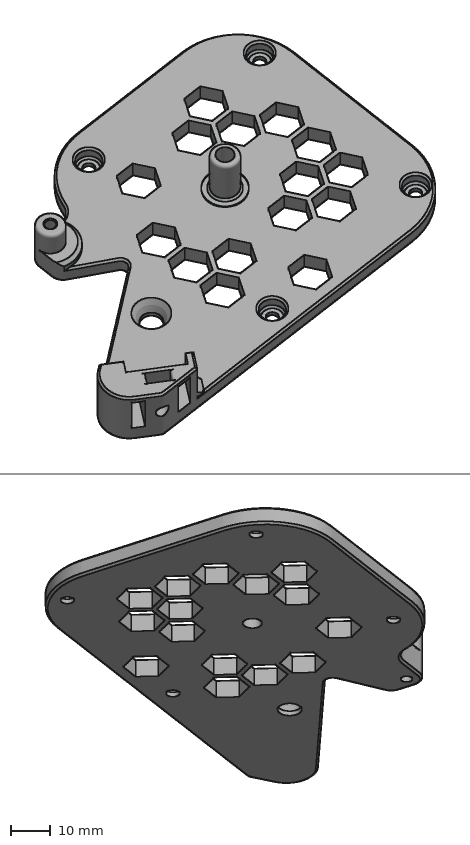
import cadquery as cq
import math


width = 82.5
length = 118.2
plate_thickness = 4.8
edge_chamfer = 0.6
plate_corner_radius = 20.0
lower_left_corner_y = 60.9
right_turn_radius = 2.0

tip_radius = 8.0
tip_x = 71.8
flank_angle = 55.0
notch_radius = 2.0
notch_x, notch_y = 38.5, 38.0
foot_diameter = 7.9
foot_radius = foot_diameter / 2
foot_x, foot_y = 21.8, 29.5
foot_flat = 4.6
blend_radius = 5.0

pad_radius = 8.0
pad_chamfer = 1.1
pad_top = 7.2
foot_post_top = 14.3
foot_bore_diameter = 3.0
foot_bore_mouth = 3.5

post_x, post_y = 39.4, 74.4
post_diameter = 7.9
post_top = 18.6
post_fillet = 1.0
post_bore_diameter = 4.8
collar_diameter = 12.1
collar_height = 0.4
post_root = 0.6

screw_places = [(14.3, 111.6), (72.5, 109.5), (75.4, 55.5), (8.4, 56.5)]
screw_diameter = 3.4
screw_recess_diameter = 7.0
screw_recess_depth = 3.5
screw_recess_chamfer = 0.6

large_hole_x, large_hole_y = 55.0, 32.6
large_hole_diameter = 6.1
large_hole_step_diameter = 7.9
large_hole_mouth_diameter = 10.2
large_hole_step_depth = 1.5
large_hole_cone_depth = 3.5

hexagon_flats = 10.0
hexagon_pitch = 11.5
honeycomb_y = 70.6
honeycomb = {
    3: (-0.5, 0.5, 1.5),
    2: (-2, -1, 1, 2),
    1: (-1.5, 1.5),
    0: (3,),
    -1: (-1.5, 1.5),
    -2: (0, 1, 2),
}

mount_top = 16.8
mount_x, mount_y = 70.8, 7.8
mount_seat_length = 16.0
mount_seat_depth = 4.0
prong_thickness = 2.1
mount_heel_length = 5.5
brace_size = 2.0
mount_reach = 23.6
mount_corner_chamfer = 0.4
tie_slot_width = 3.4
tie_slot_top = 15.0
mount_screw_diameter = 3.5
mount_screw_z = 9.7
nut_corners = 6.5
nut_pocket_fillet = 0.7
nut_pocket_thickness = 3.4
nut_pocket_offset = 1.12


def polar(center, radius, angle):
    """Point at an angle in degrees on a circle."""
    turn = math.radians(angle)
    return center[0] + radius * math.cos(turn), center[1] + radius * math.sin(turn)


def inner_tangent_angle(first, first_radius, second, second_radius, side):
    """Normal angle, on the first circle, of a line that crosses between two circles."""
    dx = second[0] - first[0]
    dy = second[1] - first[1]
    spread = math.acos((first_radius + second_radius) / math.hypot(dx, dy))
    return math.degrees(math.atan2(dy, dx) + side * spread)


def add_arc(outline, center, radius, start, end):
    """Continue the outline along an arc between two angles."""
    middle = polar(center, radius, (start + end) / 2)
    return outline.threePointArc(middle, polar(center, radius, end))


def add_corner(outline, center, radius, start, end):
    """Straight line to the start of a round corner, then the corner's arc."""
    outline = outline.lineTo(*polar(center, radius, start))
    return add_arc(outline, center, radius, start, end)


def plate_outline():
    """Closed outline: round corners in clockwise order, joined by straight lines."""
    big = plate_corner_radius
    lower_left = (big, lower_left_corner_y)
    tip = (tip_x, tip_radius)
    notch = (notch_x, notch_y)
    foot_left = (foot_x, foot_y)
    foot_right = (foot_x + foot_flat, foot_y)

    flank = math.radians(flank_angle)
    turn_x = width - right_turn_radius
    turn_rise = (turn_x - tip_x) * math.tan(flank) - (tip_radius - right_turn_radius) / math.cos(flank)
    right_turn = (turn_x, tip_radius + turn_rise)

    blend_x = foot_x - foot_radius - blend_radius
    blend_drop = math.sqrt((big + blend_radius) ** 2 - (big - blend_x) ** 2)
    blend = (blend_x, lower_left_corner_y - blend_drop)
    blend_angle = math.degrees(math.atan2(blend_drop, big - blend_x))

    tip_left_angle = inner_tangent_angle(tip, tip_radius, notch, notch_radius, 1)
    foot_right_angle = inner_tangent_angle(foot_right, foot_radius, notch, notch_radius, -1)

    outline = cq.Workplane("XY").moveTo(big, length)
    outline = add_corner(outline, (width - big, length - big), big, 90, 0)
    outline = add_corner(outline, right_turn, right_turn_radius, 0, flank_angle - 90)
    outline = add_corner(outline, tip, tip_radius, flank_angle - 90, tip_left_angle - 360)
    outline = add_corner(outline, notch, notch_radius, tip_left_angle - 180, foot_right_angle + 180)
    outline = add_corner(outline, foot_right, foot_radius, foot_right_angle, -90)
    outline = add_corner(outline, foot_left, foot_radius, -90, -180)
    outline = add_corner(outline, blend, blend_radius, 0, blend_angle)
    outline = add_arc(outline, lower_left, big, blend_angle - 180, -180)
    outline = add_corner(outline, (big, length - big), big, 180, 90)
    return outline.close()


def outline_slab(height):
    """The plate's outline raised to a height, with its lower rim chamfered."""
    slab = plate_outline().extrude(height)
    return slab.faces("<Z").edges().chamfer(edge_chamfer)


def chamfered_slab(height):
    """The outline slab with both rims chamfered."""
    return outline_slab(height).faces(">Z").edges().chamfer(edge_chamfer)


def turned(profile, x, y):
    """Solid of revolution about a vertical axis, from (radius, height) points."""
    solid = cq.Workplane("XZ").polyline(profile).close().revolve(360, (0, 0, 0), (0, 1, 0))
    return solid.translate((x, y, 0))


def vertical_cylinder(x, y, diameter, bottom, top):
    return cq.Workplane("XY", origin=(x, y, bottom)).circle(diameter / 2).extrude(top - bottom)


def foot_pad():
    """Raised pad and rounded post on the foot."""
    pad = vertical_cylinder(foot_x, foot_y, 2 * pad_radius, 0, pad_top)
    pad = pad.faces(">Z").edges().chamfer(pad_chamfer)
    pad = pad.intersect(outline_slab(pad_top))
    post = vertical_cylinder(foot_x, foot_y, foot_diameter, pad_top, foot_post_top)
    post = post.faces(">Z").edges().fillet(post_fillet)
    return pad.union(post)


def foot_bore():
    """Through bore of the foot post with a small mouth chamfer."""
    bore_radius = foot_bore_diameter / 2
    mouth_radius = foot_bore_mouth / 2
    profile = [
        (0, 0),
        (bore_radius, 0),
        (bore_radius, foot_post_top - (mouth_radius - bore_radius)),
        (mouth_radius, foot_post_top),
        (0, foot_post_top),
    ]
    return turned(profile, foot_x, foot_y)


def main_post():
    """Post with a rounded top, a sloped root and a thin collar."""
    radius = post_diameter / 2
    collar_radius = collar_diameter / 2
    collar_top = plate_thickness + collar_height
    profile = [
        (0, 0),
        (collar_radius, 0),
        (collar_radius, collar_top),
        (radius + post_root, collar_top),
        (radius, collar_top + post_root),
        (radius, post_top),
        (0, post_top),
    ]
    return turned(profile, post_x, post_y).faces(">Z").edges().fillet(post_fillet)


def screw_hole(x, y):
    """Through hole with a recess for the screw head, chamfered at its mouth and floor."""
    recess_radius = screw_recess_diameter / 2
    floor_z = plate_thickness - screw_recess_depth
    profile = [
        (0, 0),
        (screw_diameter / 2, 0),
        (screw_diameter / 2, floor_z),
        (recess_radius - screw_recess_chamfer, floor_z),
        (recess_radius, floor_z + screw_recess_chamfer),
        (recess_radius, plate_thickness - screw_recess_chamfer),
        (recess_radius + screw_recess_chamfer, plate_thickness),
        (0, plate_thickness),
    ]
    return turned(profile, x, y)


def large_hole():
    """Through hole below two cones of different steepness."""
    profile = [
        (0, 0),
        (large_hole_diameter / 2, 0),
        (large_hole_diameter / 2, plate_thickness - large_hole_cone_depth),
        (large_hole_step_diameter / 2, plate_thickness - large_hole_step_depth),
        (large_hole_mouth_diameter / 2, plate_thickness),
        (0, plate_thickness),
    ]
    return turned(profile, large_hole_x, large_hole_y)


def honeycomb_cutter():
    """Hexagonal windows with a corner pointing along Y."""
    row_spacing = hexagon_pitch * math.sin(math.radians(60))
    corner_diameter = hexagon_flats / math.cos(math.radians(30))
    centers = [
        (post_x + column * hexagon_pitch, honeycomb_y + row * row_spacing)
        for row, columns in honeycomb.items()
        for column in columns
    ]
    hexagon = cq.Sketch().regularPolygon(corner_diameter / 2, 6, angle=0)
    return cq.Workplane("XY").pushPoints(centers).placeSketch(hexagon).extrude(plate_thickness)


def mount_plane(z=0):
    """Plane along the mount's inner wall: local x up the wall, local y to the inside."""
    direction = (*polar((0, 0), 1, flank_angle), 0)
    return cq.Plane(origin=(mount_x, mount_y, z), xDir=direction, normal=(0, 0, 1))


def outward_plane(along, inward, z):
    """Upright plane parallel to the mount's inner wall, facing outward, with local y up."""
    wall = mount_plane()
    origin = wall.toWorldCoords((along, inward, z))
    return cq.Plane(origin=origin.toTuple(), xDir=wall.xDir.toTuple(), normal=(-wall.yDir).toTuple())


def nearest_to(along, inward, z):
    """Selector for the edge nearest to a point given in the mount's directions."""
    return cq.selectors.NearestToPointSelector(mount_plane().toWorldCoords((along, inward, z)).toTuple())


def mount_block():
    """Block on the tip with a chamfered rim and a sloped brace behind its high end."""
    prong_end = mount_seat_length + prong_thickness
    block = (
        cq.Workplane(mount_plane(edge_chamfer))
        .moveTo(-mount_reach, -mount_reach)
        .lineTo(prong_end, -mount_reach)
        .lineTo(prong_end, mount_seat_depth)
        .lineTo(-mount_reach, mount_seat_depth)
        .close()
        .extrude(mount_top - edge_chamfer)
        .intersect(plate_outline().extrude(mount_top))
    )
    left_corner = nearest_to(-mount_heel_length, mount_seat_depth, mount_top / 2)
    block = block.edges("|Z").edges(left_corner).chamfer(mount_corner_chamfer)
    block = block.faces(">Z").edges().chamfer(edge_chamfer)

    brace_profile = [
        (prong_end, plate_thickness),
        (prong_end + brace_size, plate_thickness),
        (prong_end, plate_thickness + brace_size),
    ]
    brace_plane = outward_plane(0, mount_seat_depth, 0)
    brace = cq.Workplane(brace_plane).polyline(brace_profile).close().extrude(mount_reach)
    return block.union(brace.intersect(plate_outline().extrude(mount_top)))


def mount_seat():
    """Space for the sensor, open toward the inside of the plate."""
    return (
        cq.Workplane(mount_plane(plate_thickness))
        .rect(mount_seat_length, mount_seat_depth, centered=False)
        .extrude(mount_top - plate_thickness)
    )


def tie_slots():
    """Two slots through the mount, one at each end of the seat."""
    return (
        cq.Workplane(mount_plane(plate_thickness))
        .pushPoints([
            (tie_slot_width / 2, -mount_reach / 2),
            (mount_seat_length - tie_slot_width / 2, -mount_reach / 2),
        ])
        .rect(tie_slot_width, mount_reach)
        .extrude(tie_slot_top - plate_thickness)
    )


def mount_screw_hole():
    screw_plane = outward_plane(mount_seat_length / 2, 0, mount_screw_z)
    return cq.Workplane(screw_plane).circle(mount_screw_diameter / 2).extrude(mount_reach)


def nut_pocket():
    """Hexagonal nut seat with a flat bottom, open straight up to the mount's top."""
    pocket_plane = outward_plane(mount_seat_length / 2, -nut_pocket_offset, mount_screw_z)
    nut = cq.Workplane(pocket_plane).polygon(6, nut_corners).extrude(nut_pocket_thickness)
    rise = mount_top - mount_screw_z
    insertion = (
        cq.Workplane(pocket_plane)
        .center(0, rise / 2)
        .rect(nut_corners, rise)
        .extrude(nut_pocket_thickness)
    )
    return nut.union(insertion)


def sensor_mount():
    """Block with its seat, screw hole, tie slots and rounded nut pocket."""
    mount = mount_block().cut(mount_seat()).cut(nut_pocket())
    pocket_middle = -nut_pocket_offset - nut_pocket_thickness / 2
    for side in (-1, 1):
        pocket_end = (mount_seat_length + side * nut_corners) / 2
        mount = mount.edges(nearest_to(pocket_end, pocket_middle, mount_top)).fillet(nut_pocket_fillet)
    return mount.cut(tie_slots()).cut(mount_screw_hole())


result = (
    chamfered_slab(plate_thickness)
    .cut(vertical_cylinder(foot_x, foot_y, 2 * pad_radius, 0, plate_thickness))
    .union(foot_pad())
    .union(main_post())
    .union(sensor_mount())
    .cut(foot_bore())
    .cut(vertical_cylinder(post_x, post_y, post_bore_diameter, 0, post_top))
    .cut(large_hole())
    .cut(honeycomb_cutter())
)
for screw_x, screw_y in screw_places:
    result = result.cut(screw_hole(screw_x, screw_y))